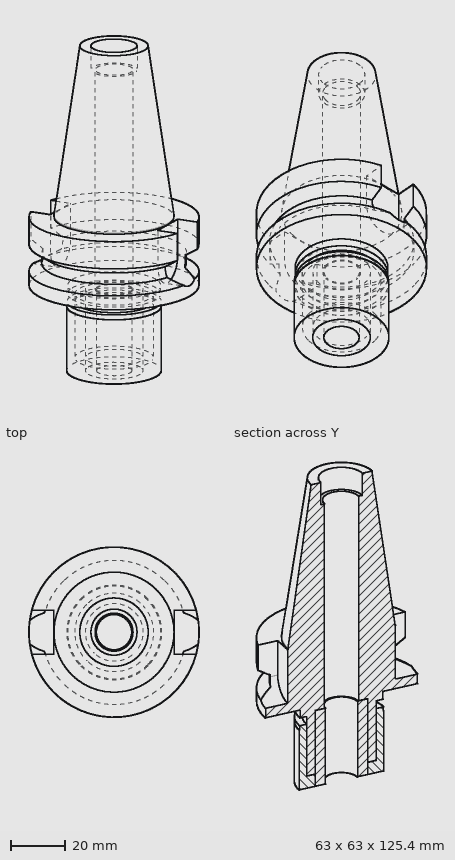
import cadquery as cq

total_height = 125.4
gauge_z = 60.0
gauge_radius = 22.2
taper_slope = 7 / 48
tip_radius = gauge_radius - taper_slope * (total_height - gauge_z)

flange_radius = 31.5
flange_top_z = 59.3
flange_bottom_z = 33.0
groove_radius = 26.7
groove_top_z = 48.8
groove_bottom_z = 38.4
groove_bevel_height = 3.0

slot_width = 16.2
slot_floor_x = 22.3
slot_bottom_z = 37.1

collar_radius = 17.2
collar_bottom_z = 29.7
neck_radius = 14.5

nut_radius = 17.5
nut_height = 26.7
nut_band_height = 1.9
nut_band_radius = 17.4
nut_floor = 5.0

drawbar_radius = 8.5
drawbar_depth = 9.2
bore_radius = 7.0
collet_radius = 10.7
collet_length = 31.4
collet_bore_radius = 6.5


def cylinder(radius, bottom_z, top_z):
    return cq.Workplane("XY").workplane(offset=bottom_z).circle(radius).extrude(top_z - bottom_z)


def drive_slot(side):
    """Round-bottomed slot cutter on the +X (side=1) or -X (side=-1) side."""
    arc_center_z = slot_bottom_z + slot_width / 2
    depth = flange_radius - slot_floor_x
    center_x = side * (slot_floor_x + depth / 2)
    straight_height = flange_top_z - arc_center_z
    block = cq.Workplane("XY").box(depth, slot_width, straight_height).translate(
        (center_x, 0, arc_center_z + straight_height / 2)
    )
    round_end = (
        cq.Workplane("YZ", origin=(center_x - depth / 2, 0, arc_center_z))
        .circle(slot_width / 2)
        .extrude(depth)
    )
    return block.union(round_end)


def make_holder():
    outline = [
        (0, nut_floor),
        (neck_radius, nut_floor),
        (neck_radius, collar_bottom_z),
        (collar_radius, collar_bottom_z),
        (collar_radius, flange_bottom_z),
        (flange_radius, flange_bottom_z),
        (flange_radius, groove_bottom_z),
        (groove_radius, groove_bottom_z + groove_bevel_height),
        (groove_radius, groove_top_z - groove_bevel_height),
        (flange_radius, groove_top_z),
        (flange_radius, flange_top_z),
        (gauge_radius, flange_top_z),
        (gauge_radius, gauge_z),
        (tip_radius, total_height),
        (0, total_height),
    ]
    holder = cq.Workplane("XZ").polyline(outline).close().revolve(360, (0, 0, 0), (0, 1, 0))
    for side in (-1, 1):
        holder = holder.cut(drive_slot(side))
    holder = holder.cut(cylinder(bore_radius, nut_floor, total_height))
    holder = holder.cut(cylinder(drawbar_radius, total_height - drawbar_depth, total_height))
    return holder.cut(cylinder(collet_radius, nut_floor, collet_length))


def make_nut():
    band_bottom_z = nut_height - nut_band_height
    nut = cylinder(nut_radius, 0, band_bottom_z)
    nut = nut.union(cylinder(nut_band_radius, band_bottom_z, nut_height))
    nut = nut.cut(cylinder(neck_radius, nut_floor, nut_height))
    return nut.cut(cylinder(collet_radius, 0, nut_floor))


def make_collet():
    collet = cylinder(collet_radius, 0, collet_length)
    return collet.cut(cylinder(collet_bore_radius, 0, collet_length))


holder = make_holder()
nut = make_nut()
collet = make_collet()

result = cq.Compound.makeCompound([holder.val(), nut.val(), collet.val()])